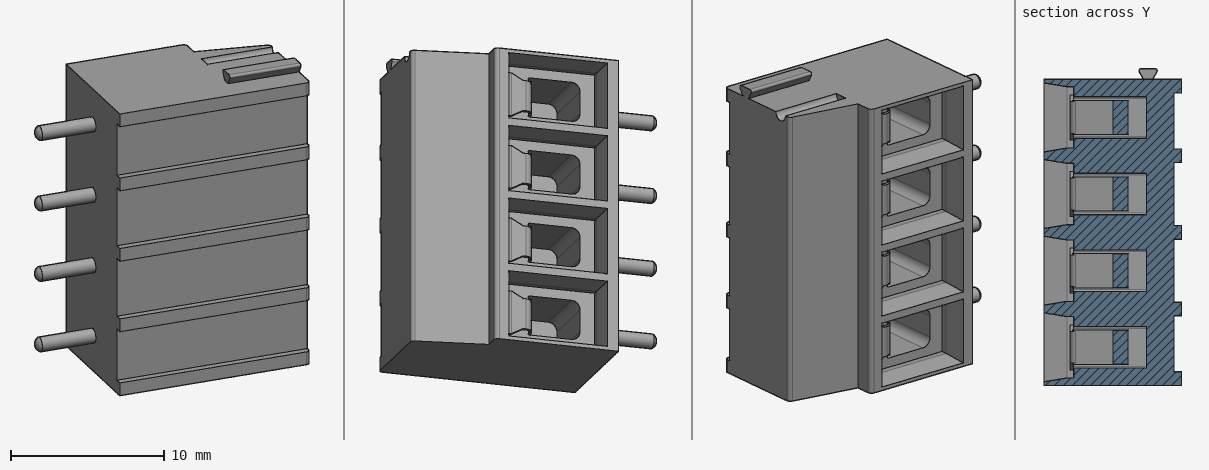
import cadquery as cq
import math


pole_count = 4
rib_height = 0.68
row_length = 20.68 - rib_height
pitch = row_length / pole_count

depth = 9.0
pin_length = 4.1
height = 17.6 - pin_length
shoulder_height = 8.48
shoulder_width = 1.35
slope_angle = 10
corner_radius = 0.29

recess_depth = 0.5
divider_width = 0.9

rib_center = 6.8
rib_base_width = 0.62
rib_flank_angle = 30
rib_edge_radius = 0.15
groove_center = 3.12
groove_radius = 0.5

pin_radius = 0.5
pin_tip_height = 0.3

window_bottom = 0.77
window_top = 7.55
window_width = 4.49
window_depth = 1.95
draft_depth = 1.5
draft_inset = 0.25
seat_bottom = window_bottom + draft_inset
seat_top = window_top - draft_inset
seat_width = window_width - 2 * draft_inset

slot_bottom = 2.0
slot_top = 5.56
slot_width = 2.69
slot_lower_radius = 0.6
slot_upper_radius = 0.1

sheet_thickness = 0.25
bend_radius = 2 * sheet_thickness
tongue_face = window_depth - sheet_thickness
tongue_lean = 14
tongue_head_width = 2.94
tongue_neck_width = 2.07
tongue_blade_width = 2.23
tongue_upper_bend = seat_top - bend_radius
tongue_neck_start = 6.0
tongue_lower_bend = 5.8
tongue_blade_start = 5.42
tongue_end = 4.15

lean = math.radians(90 - tongue_lean)
blade_x = tongue_face + bend_radius * (1 - math.cos(lean))
blade_y = tongue_lower_bend - bend_radius * math.sin(lean)
slot_floor = blade_x + (blade_y - tongue_end) * math.tan(lean)


def block(x_range, y_range, z_range):
    """Axis-aligned box given by its start and end along each axis."""
    (x0, x1), (y0, y1), (z0, z1) = x_range, y_range, z_range
    return cq.Workplane("XY").box(x1 - x0, y1 - y0, z1 - z0, centered=False).translate((x0, y0, z0))


def housing():
    slope_run = (height - shoulder_height) * math.tan(math.radians(slope_angle))
    outline = [
        (0, 0),
        (depth, 0),
        (depth, height),
        (shoulder_width + slope_run, height),
        (shoulder_width, shoulder_height),
        (0, shoulder_height),
    ]
    body = cq.Workplane("XY").polyline(outline).close().extrude(row_length)
    return (
        body.edges("|Z and >Y").fillet(corner_radius)
        .edges(cq.selectors.NearestToPointSelector((0, shoulder_height, row_length / 2))).fillet(corner_radius)
    )


def rear_recess(pole):
    """Opening between two neighbouring dividers; the end dividers keep their full width."""
    start = pole * pitch + (divider_width if pole == 0 else divider_width / 2)
    last = pole == pole_count - 1
    end = (pole + 1) * pitch - (divider_width if last else divider_width / 2)
    return block((depth - recess_depth, depth), (0, height), (start, end))


def interlock_rib():
    half_base = rib_base_width / 2
    half_top = half_base + rib_height * math.tan(math.radians(rib_flank_angle))
    outline = [(-half_base, 0), (half_base, 0), (half_top, rib_height), (-half_top, rib_height)]
    rib = cq.Workplane("XZ").polyline(outline).close().extrude(shoulder_height - height)
    rib = rib.edges("|Y and >Z").fillet(rib_edge_radius)
    return rib.translate((rib_center, shoulder_height, row_length))


def interlock_groove():
    groove = cq.Workplane("XZ").circle(groove_radius).extrude(shoulder_height - height)
    return groove.translate((groove_center, shoulder_height, row_length))


def pin():
    """Round pin pointing down -Y with a spherical cap for a tip."""
    cap_radius = (pin_radius**2 + pin_tip_height**2) / (2 * pin_tip_height)
    cap_center = cap_radius - pin_length
    half_angle = math.asin(pin_radius / cap_radius) / 2
    cap_middle = (cap_radius * math.sin(half_angle), cap_center - cap_radius * math.cos(half_angle))
    half_section = (
        cq.Workplane("XY")
        .lineTo(pin_radius, 0)
        .lineTo(pin_radius, pin_tip_height - pin_length)
        .threePointArc(cap_middle, (0, -pin_length))
        .close()
    )
    return half_section.revolve(360, (0, 0), (0, 1)).translate((depth / 2, 0, 0))


def window():
    """Window centred on z = 0: walls with draft, then a straight seat down to the floor."""
    middle = (window_bottom + window_top) / 2
    drafted = (
        cq.Workplane("YZ").center(middle, 0)
        .rect(window_top - window_bottom, window_width)
        .workplane(offset=draft_depth)
        .rect(seat_top - seat_bottom, seat_width)
        .loft(ruled=True)
    )
    half_seat = seat_width / 2
    seat = block((draft_depth, window_depth), (seat_bottom, seat_top), (-half_seat, half_seat))
    return drafted.union(seat)


def wire_slot():
    slot = block((window_depth, slot_floor), (slot_bottom, slot_top), (-slot_width / 2, slot_width / 2))
    slot = slot.edges("|X and <Y").fillet(slot_lower_radius)
    return slot.edges("|X and >Y").fillet(slot_upper_radius)


def tongue_relief():
    """Notch in the window floor that the upper bend of the tongue dips into."""
    half_head = tongue_head_width / 2
    return block(
        (window_depth, tongue_face + bend_radius), (tongue_upper_bend, seat_top), (-half_head, half_head)
    )


def tongue():
    bend_x = tongue_face + bend_radius
    inner_radius = bend_radius - sheet_thickness

    def on_lower_bend(radius, angle):
        return bend_x - radius * math.cos(angle), tongue_lower_bend - radius * math.sin(angle)

    corner = bend_radius * math.sqrt(0.5)
    blade_back = (
        slot_floor + sheet_thickness * math.cos(lean),
        tongue_end + sheet_thickness * math.sin(lean),
    )
    side_profile = (
        cq.Workplane("XY")
        .moveTo(bend_x, seat_top)
        .threePointArc((bend_x - corner, tongue_upper_bend + corner), (tongue_face, tongue_upper_bend))
        .lineTo(tongue_face, tongue_lower_bend)
        .threePointArc(on_lower_bend(bend_radius, lean / 2), on_lower_bend(bend_radius, lean))
        .lineTo(slot_floor, tongue_end)
        .lineTo(*blade_back)
        .lineTo(*on_lower_bend(inner_radius, lean))
        .threePointArc(on_lower_bend(inner_radius, lean / 2), on_lower_bend(inner_radius, 0))
        .lineTo(window_depth, tongue_upper_bend)
        .lineTo(bend_x, tongue_upper_bend)
        .close()
        .extrude(tongue_head_width / 2, both=True)
    )
    upper_edge = [
        (seat_top, tongue_head_width / 2),
        (tongue_upper_bend, tongue_head_width / 2),
        (tongue_neck_start, tongue_neck_width / 2),
        (tongue_blade_start, tongue_neck_width / 2),
        (tongue_blade_start, tongue_blade_width / 2),
        (tongue_end, tongue_blade_width / 2),
    ]
    lower_edge = [(y, -z) for y, z in reversed(upper_edge)]
    plan = cq.Workplane("YZ").polyline(upper_edge + lower_edge).close().extrude(depth)
    return side_profile.intersect(plan)


result = housing().cut(interlock_groove()).union(interlock_rib())
pole_opening = window().union(wire_slot()).union(tongue_relief())
pole_metal = tongue()
pole_pin = pin()
for pole in range(pole_count):
    pole_center = (0, 0, (pole + 0.5) * pitch)
    result = result.cut(rear_recess(pole)).cut(pole_opening.translate(pole_center))
    result = result.union(pole_metal.translate(pole_center)).union(pole_pin.translate(pole_center))